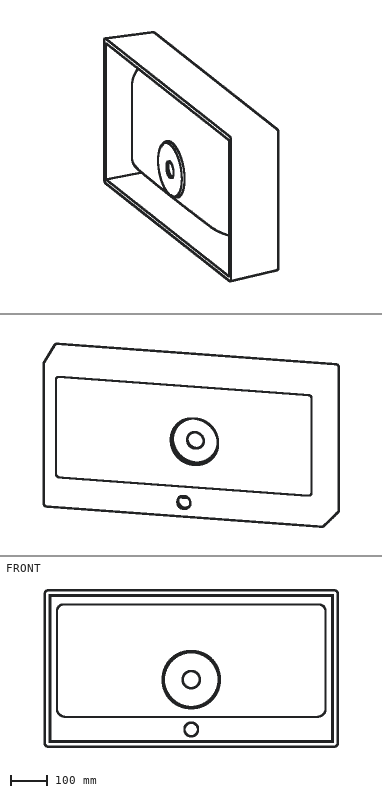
import cadquery as cq
import math

width = 793.0
depth = 147.0
height = 424.0
draft = 2.0
corner_radius = 9.5
deck_edge_radius = 5.5
wall = 12.0
rim_width = 13.0
cavity_draft = 1.4
cut_margin = 8.0

floor_y = 16.0
floor_fall = 2.0
floor_half_width = 228.5
side_arc_radius = 129.0
side_draft = 25.0
top_draft = 25.0
bottom_draft = 4.0
basin_top_z = 174.0
basin_bottom_z = -131.0
basin_edge_radius = 22.0

drain_z = -30.0
drain_boss_diameter = 155.5
drain_boss_height = 6.0
drain_boss_draft = 30.0
drain_thickness = 6.0
drain_hole_diameter = 46.0
tap_z = -165.0
tap_hole_diameter = 36.5

deck_underside_y = depth - wall


def plane_at(y, z=0.0):
    """Sketch plane at a given depth: local x is X, local y is Z, normal is -Y."""
    return cq.Workplane("XZ", origin=(0, y, z))


def drafted_box(box_width, box_height, box_depth, angle):
    """Rectangular block from the rim plane toward the deck, narrowing by the draft angle."""
    return plane_at(0).rect(box_width, box_height).extrude(-box_depth, taper=angle)


def outer_block():
    """Drafted block with rounded corners and a softened deck edge."""
    block = drafted_box(width, height, depth, draft)
    block = block.edges("not (#Y or |X or |Z)").fillet(corner_radius)
    return block.faces(">Y").edges().fillet(deck_edge_radius)


def basin_form(inset, end_y):
    """Basin shape up to end_y, with every surface moved inward by inset."""
    floor = floor_y - floor_fall + inset
    radius = side_arc_radius - inset
    fall_angle = 2 * math.degrees(math.atan(floor_fall / floor_half_width))
    centre_x = floor_half_width - side_arc_radius * math.sin(math.radians(fall_angle))
    centre_y = floor_y + side_arc_radius * math.cos(math.radians(fall_angle))

    def arc_point(angle):
        """Point on the +X side arc, turned by angle from its lowest direction."""
        turn = math.radians(angle)
        return centre_x + radius * math.sin(turn), centre_y - radius * math.cos(turn)

    end_angle = 90 - side_draft
    arc_start_x, arc_start_y = arc_point(fall_angle)
    arc_mid_x, arc_mid_y = arc_point((fall_angle + end_angle) / 2)
    arc_end_x, arc_end_y = arc_point(end_angle)
    end_x = arc_end_x + (end_y - arc_end_y) * math.tan(math.radians(side_draft))
    plan = (
        cq.Workplane("XY", origin=(0, 0, -height / 2))
        .moveTo(-arc_start_x, arc_start_y)
        .threePointArc((0, floor), (arc_start_x, arc_start_y))
        .threePointArc((arc_mid_x, arc_mid_y), (arc_end_x, arc_end_y))
        .lineTo(end_x, end_y)
        .lineTo(-end_x, end_y)
        .lineTo(-arc_end_x, arc_end_y)
        .threePointArc((-arc_mid_x, arc_mid_y), (-arc_start_x, arc_start_y))
        .close()
        .extrude(height)
    )

    def edge_z(deck_z, angle, y, outward):
        """Height of a drafted wall at depth y; outward is 1 above the basin and -1 below."""
        slope = math.radians(angle)
        return deck_z + outward * ((y - deck_underside_y) * math.tan(slope) - inset / math.cos(slope))

    start_y = floor - cut_margin
    side = (
        cq.Workplane("YZ")
        .polyline([
            (start_y, edge_z(basin_bottom_z, bottom_draft, start_y, -1)),
            (end_y, edge_z(basin_bottom_z, bottom_draft, end_y, -1)),
            (end_y, edge_z(basin_top_z, top_draft, end_y, 1)),
            (start_y, edge_z(basin_top_z, top_draft, start_y, 1)),
        ])
        .close()
        .extrude(width / 2, both=True)
    )
    form = plan.intersect(side)
    wrap_edges = form.faces("<Z or >Z").edges("not >Y")
    return wrap_edges.fillet(basin_edge_radius - inset)


def cylinder(diameter, z, start_y, end_y):
    """Round bar along Y from start_y to end_y."""
    return plane_at(end_y, z).circle(diameter / 2).extrude(end_y - start_y)


def drain_cup(base_diameter, seat_y, end_y):
    """Round drain plug that widens by the boss draft from its seat, then runs straight to end_y."""
    base_radius = base_diameter / 2
    seat_radius = base_radius - drain_boss_height * math.tan(math.radians(drain_boss_draft))
    return (
        cq.Workplane("XY", origin=(0, 0, drain_z))
        .polyline([
            (0, seat_y),
            (seat_radius, seat_y),
            (base_radius, seat_y + drain_boss_height),
            (base_radius, end_y),
            (0, end_y),
        ])
        .close()
        .revolve(360, (0, 0), (0, 1))
    )


cavity = drafted_box(width - 2 * rim_width, height - 2 * rim_width, deck_underside_y, cavity_draft)
body = outer_block().cut(cavity)

body = body.union(basin_form(0.0, depth - wall / 2))
boss_y = floor_y - floor_fall - drain_boss_height
body = body.union(drain_cup(drain_boss_diameter, boss_y, floor_y + wall / 2))
body = body.cut(basin_form(wall, depth + cut_margin))

recess_diameter = drain_boss_diameter - 2 * wall
body = body.cut(drain_cup(recess_diameter, boss_y + drain_thickness, floor_y + wall + cut_margin))

body = body.cut(cylinder(drain_hole_diameter, drain_z, 0, depth))
body = body.cut(cylinder(tap_hole_diameter, tap_z, deck_underside_y - cut_margin, depth + cut_margin))

result = body